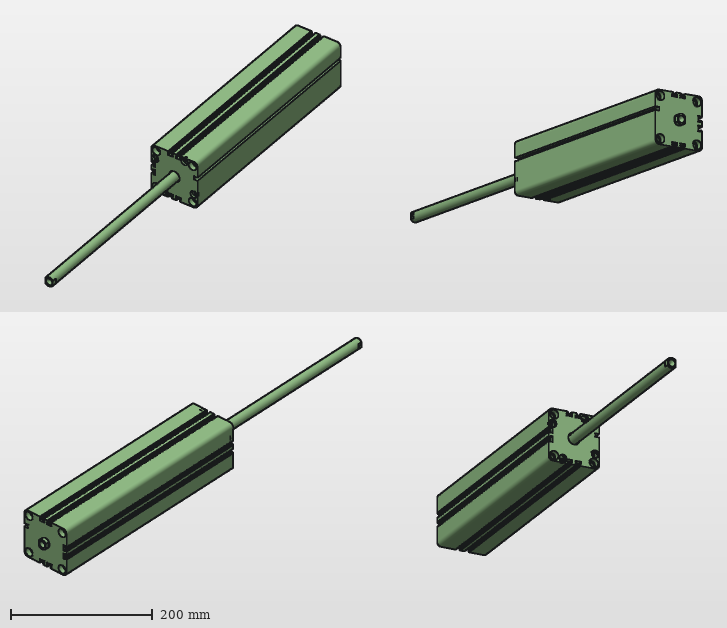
import cadquery as cq
import math

total_length = 665.0
body_width = 80.0
half_width = body_width / 2
corner_radius = 6.5
body_length = 351.0
rear_stub_length = 6.5
rod_rear = total_length / 2
rod_front = -total_length / 2
body_rear = rod_rear - rear_stub_length
body_front = body_rear - body_length

groove_spacing = 14.0
mouth_width = 7.0
neck_width = 4.0
mouth_chamfer = (mouth_width - neck_width) / 2
undercut_width = 8.5
lip_thickness = 3.0
groove_depth = 6.5
grooved_side_angles = (0, 180, -90)

plain_slot_width = 5.0
plain_slot_depth = 6.5
plain_slot_height = 12.0

corner_hole_spacing = 62.5
corner_hole_diameter = 8.5
corner_bore_diameter = 13.0
corner_bore_depth = 9.0

screw_edge_offset = 33.0
screw_side_offset = 17.0
screw_diameter = 11.0
screw_sink = 4.5
drive_slot_length = 8.0
drive_slot_width = 3.0
drive_slot_depth = 2.0

rod_diameter = 16.0
rod_clearance_diameter = 18.0
rod_clearance_depth = 6.5
flat_spacing = 13.0
front_flat_length = 6.5
rear_flat_length = 5.0
centre_hole_rim_diameter = 10.5
centre_hole_diameter = 6.5
centre_hole_chamfer = (centre_hole_rim_diameter - centre_hole_diameter) / 2
centre_point_angle = 80.0


def section(y):
    """Sketch plane across the part at y: X right, Z up, extruding toward -Y."""
    return cq.Workplane("XZ", origin=(0, y, 0))


def turn(shape, angle):
    """Rotate a shape about the rod axis."""
    return shape.rotate((0, 0, 0), (0, 1, 0), angle)


def groove_cutter(offset):
    """Undercut groove with a chamfered mouth in the top side, centred on X = offset."""
    right_side = [
        (mouth_width / 2, half_width),
        (neck_width / 2, half_width - mouth_chamfer),
        (neck_width / 2, half_width - lip_thickness),
        (undercut_width / 2, half_width - lip_thickness),
        (undercut_width / 2, half_width - groove_depth),
    ]
    left_side = [(-x, z) for x, z in reversed(right_side)]
    outline = section(body_rear).center(offset, 0).polyline(right_side + left_side).close()
    return outline.extrude(body_length)


def plain_slot_cutter():
    centre_x = half_width - plain_slot_depth / 2
    outline = section(body_rear).center(centre_x, plain_slot_height)
    return outline.rect(plain_slot_depth, plain_slot_width).extrude(body_length)


def corner_cylinders(y, diameter, depth):
    """Four cylinders at the body corners, starting at y."""
    corners = section(y).rect(corner_hole_spacing, corner_hole_spacing, forConstruction=True).vertices()
    return corners.circle(diameter / 2).extrude(depth)


def screw_cutter():
    """Sunken head and drive slot of the screw beside the top right corner."""
    sink = section(body_front).center(screw_side_offset, screw_edge_offset)
    sink = sink.circle(screw_diameter / 2).extrude(-screw_sink)
    slot = section(body_front + screw_sink).center(screw_side_offset, screw_edge_offset)
    slot = slot.rect(drive_slot_length, drive_slot_width).extrude(-drive_slot_depth)
    return sink.union(slot)


def make_body():
    body = section(body_rear).rect(body_width, body_width).extrude(body_length)
    body = body.edges("|Y").fillet(corner_radius)
    for angle in grooved_side_angles:
        for offset in (-groove_spacing / 2, groove_spacing / 2):
            body = body.cut(turn(groove_cutter(offset), angle))
    body = body.cut(plain_slot_cutter())
    body = body.cut(corner_cylinders(body_rear, corner_hole_diameter, body_length))
    body = body.cut(corner_cylinders(body_rear, corner_bore_diameter, corner_bore_depth))
    body = body.cut(corner_cylinders(body_front, corner_bore_diameter, -corner_bore_depth))
    for angle in (0, 90, 180, 270):
        body = body.cut(turn(screw_cutter(), angle))
    clearance = section(body_front).circle(rod_clearance_diameter / 2).extrude(-rod_clearance_depth)
    return body.cut(clearance)


def flats_cutter(end_y, length):
    """Two blocks that leave parallel flats on the +X and -X sides of the rod."""
    block = rod_diameter
    centre_x = (flat_spacing + block) / 2
    blocks = section(end_y).pushPoints([(-centre_x, 0), (centre_x, 0)])
    return blocks.rect(block, block).extrude(length)


def centre_hole_cutter(end_y, inward):
    """Centre hole: a 45 degree rim followed by a conical point; inward is +1 or -1 along Y."""
    rim_radius = centre_hole_rim_diameter / 2
    hole_radius = centre_hole_diameter / 2
    point_depth = hole_radius / math.tan(math.radians(centre_point_angle / 2))
    rim_y = end_y + inward * centre_hole_chamfer
    profile = [(0, end_y), (rim_radius, end_y), (hole_radius, rim_y), (0, rim_y + inward * point_depth)]
    return cq.Workplane("XY").polyline(profile).close().revolve(360, (0, 0, 0), (0, 1, 0))


def make_rod():
    rod = section(rod_rear).circle(rod_diameter / 2).extrude(total_length)
    rod = rod.cut(flats_cutter(rod_rear, rear_flat_length))
    rod = rod.cut(flats_cutter(rod_front, -front_flat_length))
    rod = rod.cut(centre_hole_cutter(rod_rear, -1))
    return rod.cut(centre_hole_cutter(rod_front, 1))


result = make_body().union(make_rod())